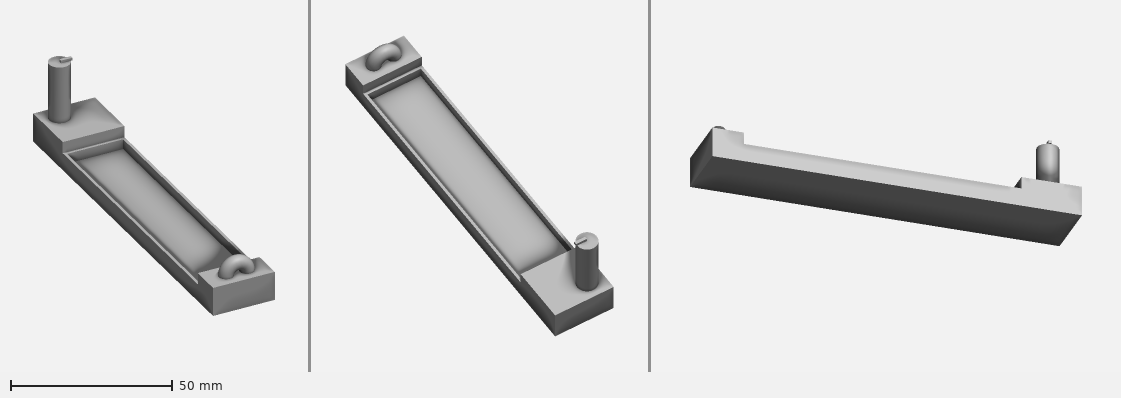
import cadquery as cq

length = 121.0
width = 21.5
block_height = 10.0
rail_height = 6.0
post_block_length = 19.8
arch_block_length = 10.3
tray_length = length - post_block_length - arch_block_length
tray_wall = 1.0
pocket_depth = 3.5

post_diameter = 7.1
post_x = 5.9
post_y = 6.0
post_top = 30.0
pointer_width = 1.1
pointer_length = 4.0
pointer_height = 1.0

arch_bar_diameter = 5.0
arch_bend_radius = 3.6
arch_x = 115.9
arch_y = width / 2


def make_base():
    """Bar lowered between the end blocks, with a walled pocket in the low stretch."""
    base = cq.Workplane("XY").box(length, width, block_height, centered=False)
    lowered = (
        cq.Workplane("XY", origin=(post_block_length, 0, rail_height))
        .box(tray_length, width, block_height - rail_height, centered=False)
    )
    pocket_corner = (post_block_length + tray_wall, tray_wall, rail_height - pocket_depth)
    pocket = (
        cq.Workplane("XY", origin=pocket_corner)
        .box(tray_length - 2 * tray_wall, width - 2 * tray_wall, pocket_depth, centered=False)
    )
    return base.cut(lowered).cut(pocket)


def make_post():
    """Cylinder whose pointer starts at the axis and overhangs the rim toward +Y."""
    post = (
        cq.Workplane("XY", origin=(post_x, post_y, block_height))
        .circle(post_diameter / 2)
        .extrude(post_top - block_height)
    )
    pointer = (
        cq.Workplane("XY", origin=(post_x, post_y, post_top))
        .box(pointer_width, pointer_length, pointer_height, centered=False)
    )
    return post.union(pointer)


def make_arch():
    """Round bar bent through two quarter turns, from one foot up to the crown and down again."""
    foot_y = arch_y - arch_bend_radius
    crown_z = block_height + arch_bend_radius
    path = (
        cq.Workplane("YZ", origin=(arch_x, 0, 0))
        .moveTo(foot_y, block_height)
        .radiusArc((arch_y, crown_z), arch_bend_radius)
        .radiusArc((arch_y + arch_bend_radius, block_height), arch_bend_radius)
    )
    return (
        cq.Workplane("XY", origin=(arch_x, foot_y, block_height))
        .circle(arch_bar_diameter / 2)
        .sweep(path)
    )


base = make_base()
post = make_post()
arch = make_arch()

result = cq.Compound.makeCompound([base.val(), post.val(), arch.val()])